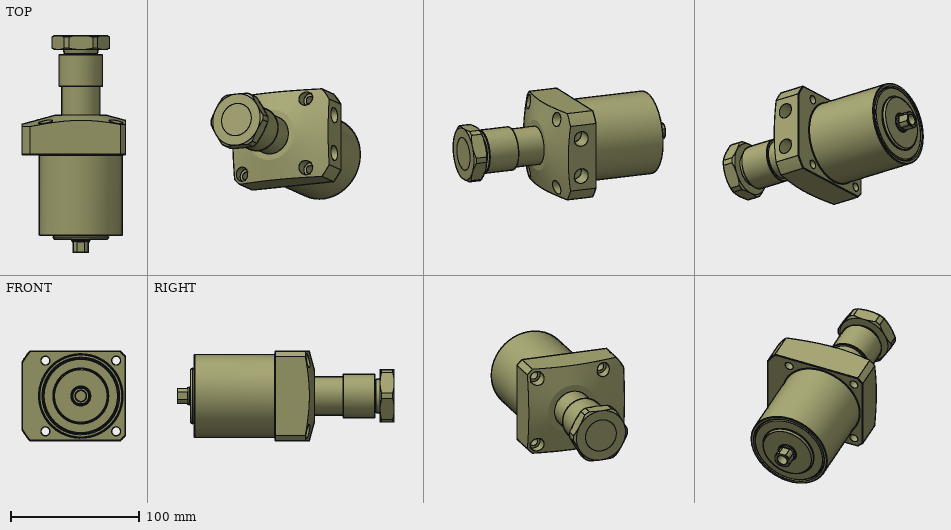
import cadquery as cq
import math


flange_left = 46.0
flange_half = 35.0
flange_thickness = 31.0
left_corner_radius = 52.9
right_corner_chamfer = 4.2
flange_flat_radius = 20.0
flange_slope = math.radians(15.2)
mounting_edge_chamfer = 0.5
bolt_radius = 3.4
bolt_offset = 27.5
counterbore_radius = 5.4
counterbore_floor = 17.7
port_radius = 5.9
port_y = 12.8
port_offset = 15.0
port_depth = 13.5

barrel_radius = 32.5
barrel_length = 62.9
barrel_end_chamfer = 0.5
barrel_root_bevel = 0.5

cap_radius = 29.4
cap_thickness = 10.1
joint_chamfer = 0.8

wiper_seat_depth = 3.4
wiper_base_radius = 21.3
wiper_lip_radius = 21.8
wiper_end_radius = 21.1
wiper_height = 3.0
wiper_lip_height = 1.2
wiper_edge_chamfer = 0.7
wiper_bore_chamfer = 0.7

rod_radius = 15.0
rod_neck_radius = 12.8
tail_radius = 6.6
tail_collar_radius = 7.1
tail_collar_height = 0.7
tail_collar_bevel_height = 1.0
tail_length = 76.0
tail_end_chamfer = 0.3
square_half = 5.9
square_start = 2.0
tail_hole_radius = 4.2
tail_hole_depth = 10.1
tail_hole_chamfer = 0.3

sleeve_radius = 17.0
sleeve_start = 53.0
sleeve_length = 25.0
sleeve_edge_chamfer = 0.5

nut_across_flats = 40.9
nut_corner_radius = 22.5
nut_face_radius = 20.5
nut_bevel = math.radians(30)
nut_turn = 30
nut_thickness = 11.0
nut_end = 93.0
seat_start_radius = 13.0
seat_end_radius = 13.7
seat_height = 3.0

barrel_end = -barrel_length
cap_inner_face = barrel_end + cap_thickness
wiper_seat = barrel_end + wiper_seat_depth
wiper_face = barrel_end - wiper_height
sleeve_end = sleeve_start + sleeve_length
nut_face = nut_end - nut_thickness


def turned(points):
    """Solid of revolution about the Y axis from (radius, y) points."""
    return cq.Workplane("XY").polyline(points).close().revolve(360, (0, 0), (0, 1))


def cylinder(radius, y_start, y_end):
    return turned([(0, y_start), (radius, y_start), (radius, y_end), (0, y_end)])


def flange_outline():
    """Flange outline in the XZ plane, extruded toward +Y from the mounting face."""
    arc_z = math.sqrt(left_corner_radius**2 - flange_left**2)
    arc_x = math.sqrt(left_corner_radius**2 - flange_half**2)
    middle = (math.atan2(arc_z, flange_left) + math.atan2(flange_half, arc_x)) / 2
    middle_x = left_corner_radius * math.cos(middle)
    middle_z = left_corner_radius * math.sin(middle)
    inset = flange_half - right_corner_chamfer
    return (
        cq.Workplane("XZ")
        .moveTo(-arc_x, flange_half)
        .lineTo(inset, flange_half)
        .lineTo(flange_half, inset)
        .lineTo(flange_half, -inset)
        .lineTo(inset, -flange_half)
        .lineTo(-arc_x, -flange_half)
        .threePointArc((-middle_x, -middle_z), (-flange_left, -arc_z))
        .lineTo(-flange_left, arc_z)
        .threePointArc((-middle_x, middle_z), (-arc_x, flange_half))
        .close()
        .extrude(-flange_thickness)
    )


def bolt_cutters(radius, y_start):
    """Cylinders at the four bolt positions, from y_start through the sloped face."""
    return (
        cq.Workplane("XZ", origin=(0, y_start, 0))
        .rect(2 * bolt_offset, 2 * bolt_offset, forConstruction=True)
        .vertices()
        .circle(radius)
        .extrude(y_start - flange_thickness)
    )


def make_flange():
    flange = flange_outline().faces("<Y").chamfer(mounting_edge_chamfer)
    slope_drop = (left_corner_radius - flange_flat_radius) * math.tan(flange_slope)
    envelope = turned([
        (0, 0),
        (left_corner_radius, 0),
        (left_corner_radius, flange_thickness - slope_drop),
        (flange_flat_radius, flange_thickness),
        (0, flange_thickness),
    ])
    ports = (
        cq.Workplane("YZ", origin=(-flange_left, 0, 0))
        .pushPoints([(port_y, -port_offset), (port_y, port_offset)])
        .circle(port_radius)
        .extrude(port_depth)
    )
    return (
        flange.intersect(envelope)
        .cut(bolt_cutters(bolt_radius, 0))
        .cut(bolt_cutters(counterbore_radius, counterbore_floor))
        .cut(ports)
    )


def make_housing():
    """Flange and barrel, bored for the rod and opened at the end for the cap."""
    barrel = turned([
        (0, barrel_end),
        (barrel_radius - barrel_end_chamfer, barrel_end),
        (barrel_radius, barrel_end + barrel_end_chamfer),
        (barrel_radius, -barrel_root_bevel),
        (barrel_radius + barrel_root_bevel, 0),
        (0, 0),
    ])
    cavity = turned([
        (0, barrel_end),
        (cap_radius + joint_chamfer, barrel_end),
        (cap_radius, barrel_end + joint_chamfer),
        (cap_radius, cap_inner_face),
        (rod_radius, cap_inner_face),
        (rod_radius, flange_thickness),
        (0, flange_thickness),
    ])
    return make_flange().union(barrel).cut(cavity)


def make_end_cap():
    """Ring closing the barrel, with a recess for the wiper disc."""
    return turned([
        (tail_collar_radius, cap_inner_face),
        (cap_radius, cap_inner_face),
        (cap_radius, barrel_end + joint_chamfer),
        (cap_radius - joint_chamfer, barrel_end),
        (wiper_base_radius, barrel_end),
        (wiper_base_radius, wiper_seat),
        (tail_collar_radius, wiper_seat),
    ])


def make_wiper():
    """Disc with a flared lip and a chamfered bore around the rod tail."""
    lip_y = barrel_end - wiper_lip_height
    return turned([
        (tail_collar_radius, wiper_seat),
        (wiper_base_radius, wiper_seat),
        (wiper_base_radius, lip_y),
        (wiper_lip_radius, lip_y),
        (wiper_end_radius, wiper_face + wiper_edge_chamfer),
        (wiper_end_radius - wiper_edge_chamfer, wiper_face),
        (tail_collar_radius + wiper_bore_chamfer, wiper_face),
        (tail_collar_radius, wiper_face + wiper_bore_chamfer),
    ])


def make_rod():
    """Piston rod from the square tail to the threaded neck inside the nut."""
    collar_end = wiper_face - tail_collar_height
    rod = turned([
        (0, -tail_length),
        (tail_radius - tail_end_chamfer, -tail_length),
        (tail_radius, tail_end_chamfer - tail_length),
        (tail_radius, collar_end - tail_collar_bevel_height),
        (tail_collar_radius, collar_end),
        (tail_collar_radius, cap_inner_face),
        (rod_radius, cap_inner_face),
        (rod_radius, sleeve_start),
        (rod_neck_radius, sleeve_start),
        (rod_neck_radius, nut_end),
        (0, nut_end),
    ])
    square_top = wiper_face - square_start
    square_length = square_top + tail_length
    flats = (
        cq.Workplane("XZ", origin=(0, square_top, 0))
        .circle(2 * tail_radius)
        .rect(2 * square_half, 2 * square_half)
        .extrude(square_length)
    )
    hole_end = tail_hole_depth - tail_length
    hole = turned([
        (0, -tail_length),
        (tail_hole_radius + tail_hole_chamfer, -tail_length),
        (tail_hole_radius, tail_hole_chamfer - tail_length),
        (tail_hole_radius, hole_end),
        (0, hole_end),
    ])
    return rod.cut(flats).cut(hole)


def make_sleeve():
    return (
        cylinder(sleeve_radius, sleeve_start, sleeve_end)
        .faces("<Y or >Y")
        .chamfer(sleeve_edge_chamfer)
        .cut(cylinder(rod_neck_radius, sleeve_start, sleeve_end))
    )


def make_nut():
    """Hex nut with rounded corners, beveled faces and a tapered seat."""
    hexagon = (
        cq.Workplane("XZ", origin=(0, nut_face, 0))
        .polygon(6, nut_across_flats, circumscribed=True)
        .extrude(-nut_thickness)
        .rotate((0, 0, 0), (0, 1, 0), nut_turn)
    )
    bevel_height = (nut_corner_radius - nut_face_radius) * math.tan(nut_bevel)
    envelope = turned([
        (0, nut_face),
        (nut_face_radius, nut_face),
        (nut_corner_radius, nut_face + bevel_height),
        (nut_corner_radius, nut_end - bevel_height),
        (nut_face_radius, nut_end),
        (0, nut_end),
    ])
    seat = turned([
        (0, nut_face - seat_height),
        (seat_start_radius, nut_face - seat_height),
        (seat_end_radius, nut_face),
        (0, nut_face),
    ])
    bore = cylinder(rod_neck_radius, nut_face - seat_height, nut_end)
    return hexagon.intersect(envelope).union(seat).cut(bore)


housing = make_housing()
end_cap = make_end_cap()
wiper = make_wiper()
rod = make_rod()
sleeve = make_sleeve()
nut = make_nut()

result = cq.Compound.makeCompound([
    housing.solids().val(),
    end_cap.solids().val(),
    wiper.solids().val(),
    rod.solids().val(),
    sleeve.solids().val(),
    nut.solids().val(),
])